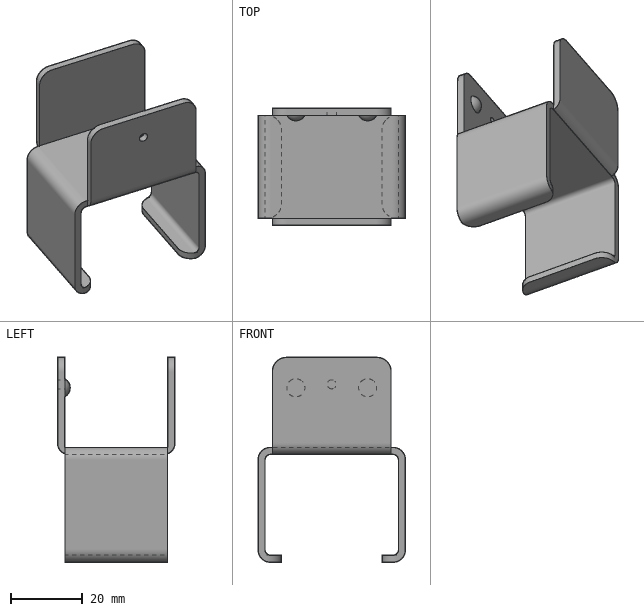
import cadquery as cq

sheet = 2.0
channel_width = 41.0
channel_height = 32.0
overall_depth = 32.6
overall_height = 57.0
channel_depth = overall_depth - 2 * sheet
bend_outer_radius = 3.5
bend_inner_radius = bend_outer_radius - sheet
lip_length = 6.5
corner_radius = 4.0

tab_width = 33.05
tab_bottom = channel_height - sheet
tab_bend_radius = 3.0

head_spacing = 19.95
head_diameter = 5.0
head_height = 1.55
head_axis_height = 48.5
hole_diameter = 2.5
hole_height = 49.5


def centred_box(width, depth, bottom, top):
    """Box centred on the Z axis, spanning bottom to top."""
    height = top - bottom
    box = cq.Workplane("XY").box(width, depth, height, centered=(True, True, False))
    return box.translate((0, 0, bottom))


def make_channel():
    """Bent channel with inward lips whose free corners are rounded."""
    outer = centred_box(channel_width, channel_depth, 0, channel_height)
    outer = outer.edges("|Y").fillet(bend_outer_radius)
    cavity = centred_box(channel_width - 2 * sheet, channel_depth, sheet, tab_bottom)
    cavity = cavity.edges("|Y").fillet(bend_inner_radius)
    mouth_width = channel_width - 2 * lip_length
    channel = outer.cut(cavity).cut(centred_box(mouth_width, channel_depth, 0, channel_height / 2))
    return channel.cut(make_lip_corner_waste(mouth_width / 2))


def make_lip_corner_waste(lip_edge):
    """Material outside the quarter rounds at the four lip corners."""
    waste = cq.Workplane("XY")
    end = channel_depth / 2
    for side in (-1, 1):
        for face in (-1, 1):
            centre = (side * (lip_edge + corner_radius), face * (end - corner_radius))
            square_centre = (
                side * (lip_edge + corner_radius / 2),
                face * (end - corner_radius / 2),
            )
            square = cq.Workplane("XY").center(*square_centre).rect(corner_radius, corner_radius)
            round_part = cq.Workplane("XY").center(*centre).circle(corner_radius)
            waste = waste.add(square.extrude(sheet).cut(round_part.extrude(sheet)))
    return waste.combine()


def make_tab(face):
    """Upright tab on the -Y (face = -1) or +Y (face = 1) end."""
    block = centred_box(tab_width, overall_depth, tab_bottom, overall_height)
    block = block.edges("|Y and >Z").fillet(corner_radius)
    block = block.edges("|X and <Z").fillet(tab_bend_radius)
    end_slab = centred_box(tab_width, sheet, tab_bottom, overall_height)
    return block.intersect(end_slab.translate((0, face * (overall_depth - sheet) / 2, 0)))


def make_head(x):
    """Domed head facing -Y."""
    profile = (
        cq.Workplane("XY")
        .lineTo(head_diameter / 2, 0)
        .threePointArc(dome_midpoint(), (0, -head_height))
        .close()
    )
    head = profile.revolve(360, (0, 0), (0, 1))
    return head.translate((x, channel_depth / 2, head_axis_height))


def dome_midpoint():
    """Point on the dome halfway out from its axis."""
    rim = head_diameter / 2
    sphere_radius = (rim**2 + head_height**2) / (2 * head_height)
    x = rim / 2
    return x, sphere_radius - head_height - (sphere_radius**2 - x**2) ** 0.5


hole = (
    cq.Workplane("XZ", origin=(0, overall_depth / 2, hole_height))
    .circle(hole_diameter / 2)
    .extrude(sheet)
)

result = make_channel().union(make_tab(-1)).union(make_tab(1).cut(hole))
for head_x in (-head_spacing / 2, head_spacing / 2):
    result = result.union(make_head(head_x))